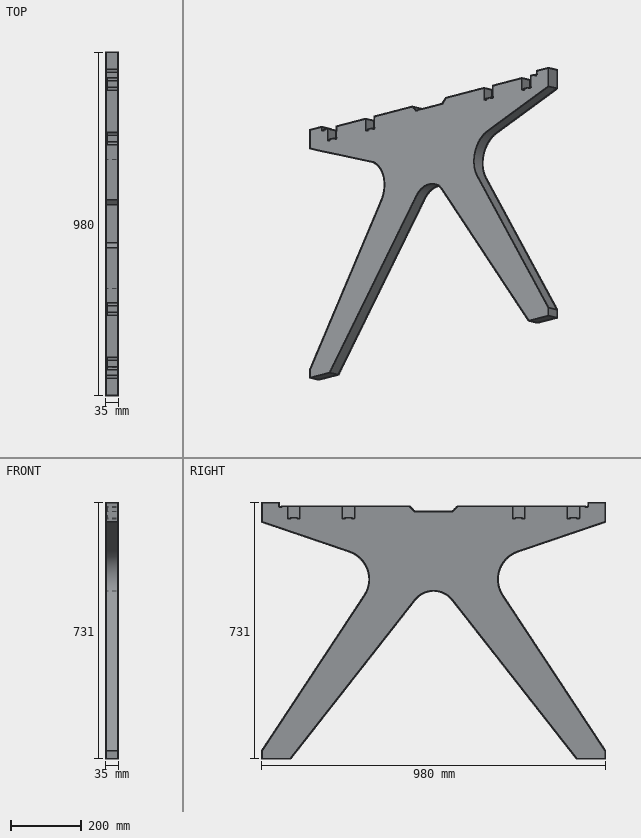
import cadquery as cq

thickness = 35.0
span = 980.0
height = 731.0
half_span = span / 2

lip_length = 49.0
rail_z = height - 10.0
recess_z = height - 24.5
recess_half_width = 54.0
recess_chamfer = rail_z - recess_z

arm_end_height = 55.0
arm_slope = 0.34
foot_height = 24.0
foot_length = 81.0
crotch_z = 521.0
outer_radius = 83.0
crotch_radius = 68.0
leg_slope = 1.516

slot_width = 35.0
slot_depth = 33.0
slot_skin = 4.0
slot_offsets_from_end = (73.5, 229.0)

relief_width = 9.0
relief_radius = relief_width / 2
relief_depth = 3.0


def x_bar(y, z, radius):
    """Cylinder along X through the whole thickness."""
    bar = cq.Workplane("YZ").center(y, z).circle(radius).extrude(thickness)
    return bar.translate((-thickness / 2, 0, 0))


def relief(wall_y, inward, floor_z):
    """Groove tangent to a wall, reaching relief_depth below the floor."""
    center_z = floor_z - relief_depth + relief_radius
    return x_bar(wall_y + inward * relief_radius, center_z, relief_radius)


def plate():
    arm_end_z = height - arm_end_height
    inset = (arm_end_z - foot_height) / (leg_slope + arm_slope)
    elbow = (half_span - inset, foot_height + leg_slope * inset)
    right_half = [
        (recess_half_width, recess_z),
        (recess_half_width + recess_chamfer, rail_z),
        (half_span - lip_length, rail_z),
        (half_span - lip_length, height),
        (half_span, height),
        (half_span, arm_end_z),
        elbow,
        (half_span, foot_height),
        (half_span, 0),
        (half_span - foot_length, 0),
    ]
    left_half = [(-y, z) for y, z in reversed(right_half)]
    outline = right_half + [(0, crotch_z)] + left_half
    body = cq.Workplane("YZ").polyline(outline).close().extrude(thickness / 2, both=True)

    def corner(y, z):
        return cq.selectors.BoxSelector((-thickness, y - 10, z - 10), (thickness, y + 10, z + 10))

    for side in (-1, 1):
        body = body.edges(corner(side * elbow[0], elbow[1])).edges("|X").fillet(outer_radius)
    return body.edges(corner(0, crotch_z)).edges("|X").fillet(crotch_radius)


def slot(center_y):
    """Open-topped slot with relieved floor corners, leaving a thin skin on -X."""
    floor_z = rail_z - slot_depth
    pocket = cq.Workplane("XY").box(thickness, slot_width, height - floor_z, centered=(True, True, False))
    pocket = pocket.translate((0, center_y, floor_z))
    for side in (-1, 1):
        pocket = pocket.union(relief(center_y + side * slot_width / 2, -side, floor_z))
    return pocket.translate((slot_skin, 0, 0))


result = plate()
for side in (-1, 1):
    result = result.cut(relief(side * (half_span - lip_length), -side, rail_z))
    for offset in slot_offsets_from_end:
        result = result.cut(slot(side * (half_span - offset - slot_width / 2)))